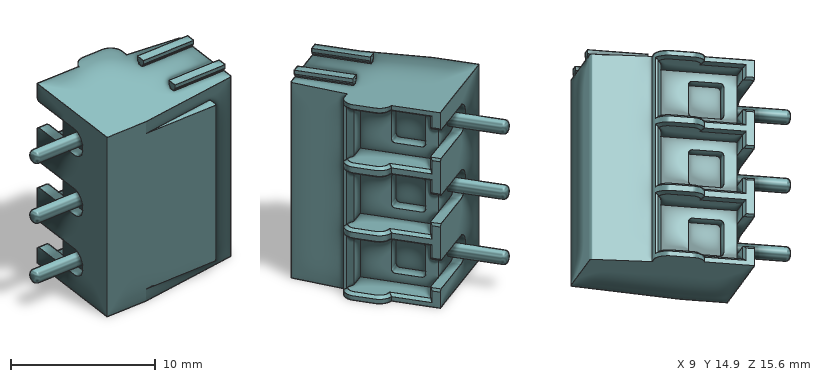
import cadquery as cq
import math

POLES = 3
PITCH = 5.0
HEIGHT = POLES * PITCH
OVERALL_HEIGHT = 15.57

WIDTH = 9.0
BACK_Y = 11.4
SIDE_X = 0.75
BACK_LEFT_X = 2.01
BACK_RIGHT_X = 7.97
BACK_FILLET = 0.19
LEFT_TAPER_X = 1.53
RIGHT_TAPER_Y = 3.35
FLANGE_BACK_Y = 7.1
FLANGE_FRONT_Y = 3.53
FLANGE_RADIUS = 1.0

END_WALL = 0.53
DIVIDER = 0.81
FLOOR_X = 2.7
POCKET_FRONT_Y = 0.8
POCKET_BACK_Y = 6.52
BEVEL_X = 1.34
LIP_Y = 6.87
RIM_CHAMFER = 0.19
RIM_DEPTH = 0.28
FLANGE_ROOT_X = FLOOR_X + 2 * RIM_DEPTH

SLOT_END_X = 6.1
SLOT_HEIGHT = 2.18
SLOT_RADIUS = 1.0
MOUTH_CHAMFER = 0.17

WINDOW_MIDDLE_Y = 2.99
WINDOW_LENGTH = 2.5
WINDOW_HEIGHT = 2.62
WINDOW_RADIUS = 0.3
WINDOW_DEPTH = 1.0

PIN_X = 5.0
PIN_RADIUS = 0.51
PIN_LENGTH = 3.5
PIN_TIP_FILLET = 0.31

RIDGE_PLACES = (3.15, 6.85)
RIDGE_HEIGHT = OVERALL_HEIGHT - HEIGHT
RIDGE_WIDTH = 0.72
RIDGE_NECK_WIDTH = 0.44
RIDGE_HEAD = 0.3
RIDGE_NECK = 0.1

BLOCK_BACK_Y = 9.35
BLOCK_INSET = 1.0
BLOCK_FILLET = 0.12


def back_arc_point(x):
    """Point at x on the rounded back corner of a flange."""
    drop = FLANGE_RADIUS - math.sqrt(FLANGE_RADIUS**2 - (FLANGE_RADIUS - x) ** 2)
    return x, FLANGE_BACK_Y - drop


def make_housing():
    """Tapered prism with one tall pocket along its -X side, still without the flanges."""
    housing = (
        cq.Workplane("XY")
        .moveTo(SIDE_X, 0)
        .lineTo(WIDTH, 0)
        .lineTo(WIDTH, RIGHT_TAPER_Y)
        .lineTo(BACK_RIGHT_X, BACK_Y)
        .lineTo(BACK_LEFT_X, BACK_Y)
        .lineTo(LEFT_TAPER_X, FLANGE_BACK_Y)
        .lineTo(FLANGE_RADIUS, FLANGE_BACK_Y)
        .threePointArc(
            back_arc_point((SIDE_X + FLANGE_RADIUS) / 2),
            back_arc_point(SIDE_X),
        )
        .lineTo(SIDE_X, LIP_Y)
        .lineTo(BEVEL_X, POCKET_BACK_Y)
        .lineTo(FLOOR_X, POCKET_BACK_Y)
        .lineTo(FLOOR_X, POCKET_FRONT_Y)
        .lineTo(SIDE_X + RIM_DEPTH, POCKET_FRONT_Y)
        .lineTo(SIDE_X, POCKET_FRONT_Y - RIM_CHAMFER)
        .close()
        .extrude(HEIGHT)
    )
    return housing.edges("|Z").edges(">Y").fillet(BACK_FILLET)


def make_side_block():
    block_height = HEIGHT - 2 * BLOCK_INSET
    block = (
        cq.Workplane("XY", origin=(0, 0, BLOCK_INSET))
        .moveTo(BACK_RIGHT_X, RIGHT_TAPER_Y)
        .lineTo(WIDTH, RIGHT_TAPER_Y)
        .lineTo(WIDTH, BLOCK_BACK_Y)
        .lineTo(BACK_RIGHT_X, BLOCK_BACK_Y)
        .close()
        .extrude(block_height)
    )
    return block.edges("|Z and >X and >Y").fillet(BLOCK_FILLET)


def tab_outline(z):
    """Rounded part of a flange that stands out from the -X side."""
    return (
        cq.Workplane("XY", origin=(0, 0, z))
        .moveTo(FLANGE_ROOT_X, FLANGE_FRONT_Y)
        .lineTo(FLANGE_ROOT_X, FLANGE_BACK_Y)
        .lineTo(FLANGE_RADIUS, FLANGE_BACK_Y)
        .tangentArcPoint((0, FLANGE_BACK_Y - FLANGE_RADIUS), relative=False)
        .lineTo(0, FLANGE_FRONT_Y + FLANGE_RADIUS)
        .tangentArcPoint((FLANGE_RADIUS, FLANGE_FRONT_Y), relative=False)
        .close()
    )


def web_outline(z):
    """Straight part of a flange, level with the -X side of the housing."""
    return (
        cq.Workplane("XY", origin=(0, 0, z))
        .moveTo(SIDE_X, 0)
        .lineTo(FLANGE_ROOT_X, 0)
        .lineTo(FLANGE_ROOT_X, POCKET_BACK_Y)
        .lineTo(SIDE_X, POCKET_BACK_Y)
        .close()
    )


def make_flange(bottom, top, chamfer_bottom, chamfer_top):
    """Flange plate, chamfered where it faces a pocket and rooted inside the housing."""
    core_bottom = bottom + RIM_CHAMFER if chamfer_bottom else bottom
    core_top = top - RIM_CHAMFER if chamfer_top else top
    rim_taper = math.degrees(math.atan2(RIM_DEPTH, RIM_CHAMFER))
    layers = []
    for outline in (web_outline, tab_outline):
        layers.append(outline(core_bottom).extrude(core_top - core_bottom))
        if chamfer_top:
            layers.append(outline(core_top).extrude(RIM_CHAMFER, taper=rim_taper))
        if chamfer_bottom:
            layers.append(outline(core_bottom).extrude(-RIM_CHAMFER, taper=rim_taper))
    flange = layers[0]
    for layer in layers[1:]:
        flange = flange.union(layer)
    return flange


def make_flanges():
    flanges = [
        make_flange(0, END_WALL, False, True),
        make_flange(HEIGHT - END_WALL, HEIGHT, True, False),
    ]
    for divider in range(1, POLES):
        middle = divider * PITCH
        flanges.append(make_flange(middle - DIVIDER / 2, middle + DIVIDER / 2, True, True))
    return flanges


def pole_middle(pole):
    return (pole + 0.5) * PITCH


def make_slot(pole):
    """Round-ended slot through the front wall, with a flared mouth."""
    half = SLOT_HEIGHT / 2
    mouth = half + MOUTH_CHAMFER
    slot = (
        cq.Workplane("XZ", origin=(0, POCKET_FRONT_Y, pole_middle(pole)))
        .moveTo(SIDE_X, mouth)
        .lineTo(SIDE_X + MOUTH_CHAMFER, half)
        .lineTo(SLOT_END_X, half)
        .lineTo(SLOT_END_X, -half)
        .lineTo(SIDE_X + MOUTH_CHAMFER, -half)
        .lineTo(SIDE_X, -mouth)
        .close()
        .extrude(POCKET_FRONT_Y)
    )
    return slot.edges("|Y and >X").fillet(SLOT_RADIUS)


def make_window(pole):
    return (
        cq.Workplane("YZ", origin=(FLOOR_X, WINDOW_MIDDLE_Y, pole_middle(pole)))
        .rect(WINDOW_LENGTH, WINDOW_HEIGHT)
        .extrude(WINDOW_DEPTH)
        .edges("|X")
        .fillet(WINDOW_RADIUS)
    )


def make_pin(pole):
    pin = cq.Workplane("XZ", origin=(PIN_X, POCKET_FRONT_Y, pole_middle(pole)))
    pin = pin.circle(PIN_RADIUS).extrude(POCKET_FRONT_Y + PIN_LENGTH)
    return pin.faces("<Y").edges().fillet(PIN_TIP_FILLET)


def make_ridge(middle_x):
    """T-shaped rail on the top face, running to the back."""
    head = RIDGE_WIDTH / 2
    neck = RIDGE_NECK_WIDTH / 2
    right_half = [
        (neck, 0),
        (neck, RIDGE_NECK),
        (head, RIDGE_HEIGHT - RIDGE_HEAD),
        (head, RIDGE_HEIGHT),
    ]
    left_half = [(-x, z) for x, z in reversed(right_half)]
    return (
        cq.Workplane("XZ", origin=(middle_x, BACK_Y, HEIGHT))
        .polyline(right_half + left_half)
        .close()
        .extrude(BACK_Y - FLANGE_BACK_Y)
    )


body = make_housing().union(make_side_block())
for flange in make_flanges():
    body = body.union(flange)
for pole in range(POLES):
    body = body.cut(make_slot(pole)).cut(make_window(pole)).union(make_pin(pole))
for ridge_x in RIDGE_PLACES:
    body = body.union(make_ridge(ridge_x))

result = body